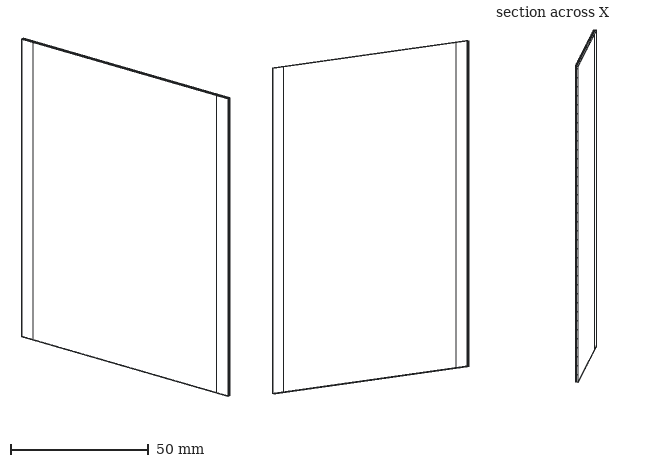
import cadquery as cq

height = 120.0
width = 89.9
edge_thickness = 0.55
middle_thickness = 0.54
strip_width = 5.0
tilt = 23.24

middle_width = width - 2 * strip_width
recess_depth = edge_thickness - middle_thickness


def make_slab(slab_width, slab_thickness, front_y):
    """Upright slab centred on X and Z, with its front face at front_y."""
    slab = cq.Workplane("XY").box(slab_width, slab_thickness, height, centered=(True, False, True))
    return slab.translate((0, front_y, 0))


def make_sheet(facing):
    """Sheet with a shallow full-height recess between its side strips, turned to face outward.

    The flat inner face lies on the plane through the Z axis where the two sheets touch.
    """
    blank = make_slab(width, edge_thickness, -edge_thickness)
    recess = make_slab(middle_width, recess_depth, -edge_thickness)
    return blank.cut(recess).rotate((0, 0, 0), (0, 0, 1), tilt + facing)


sheets = [make_sheet(facing) for facing in (0, 180)]

result = cq.Compound.makeCompound([sheet.val() for sheet in sheets])